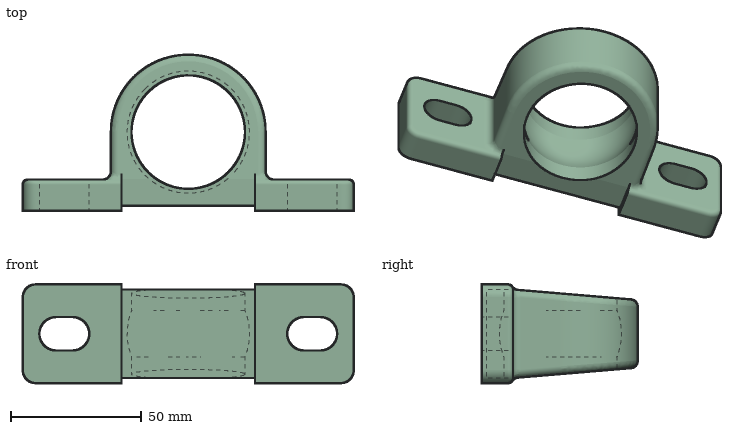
import cadquery as cq
import math

base_length = 127.0
base_width = 38.0
foot_height = 12.1
foot_inner_x = 25.5
foot_corner_radius = 5.1
foot_top_fillet = 2.0

bridge_width = 34.0
relief_depth = 1.9

slot_spacing = 95.0
slot_length = 19.0
slot_width = 12.7

bore_center_y = 30.2
housing_radius = 29.7
housing_taper_angle = 4.8
housing_edge_fillet = 2.9
root_fillet = 3.0
crown_y = bore_center_y + housing_radius

seat_radius = 23.5
bore_radius = 21.7

tolerance = 0.01


def housing_half_width(y):
    """Half of the housing width along Z at height y."""
    return bridge_width / 2 - (y - foot_height) * math.tan(math.radians(housing_taper_angle))


def make_housing():
    """Solid tapered arch reaching down to the mounting face, with rounded outer edges."""
    arch = (
        cq.Workplane("XY")
        .moveTo(-housing_radius, 0)
        .lineTo(-housing_radius, bore_center_y)
        .threePointArc((0, crown_y), (housing_radius, bore_center_y))
        .lineTo(housing_radius, 0)
        .close()
        .extrude(base_width, both=True)
    )
    half_root = housing_half_width(0)
    half_crown = housing_half_width(crown_y)
    wedge = (
        cq.Workplane("YZ")
        .polyline([(0, -half_root), (0, half_root), (crown_y, half_crown), (crown_y, -half_crown)])
        .close()
        .extrude(base_length / 2, both=True)
    )
    leaning_faces = arch.intersect(wedge).faces(">Z or <Z")
    return leaning_faces.edges("not <Y").fillet(housing_edge_fillet)


def make_foot():
    """Foot on the +X side, rounded at its outer end and along its top."""
    foot_length = base_length / 2 - foot_inner_x
    foot = (
        cq.Workplane("XY")
        .box(foot_length, foot_height, base_width, centered=(False, False, True))
        .translate((foot_inner_x, 0, 0))
    )
    foot = foot.edges("|Y and >X").fillet(foot_corner_radius)
    return foot.faces(">Y").edges("not <X").fillet(foot_top_fillet)


def make_end(housing):
    """Foot on the +X side, blended into the straight side of the housing that stands on it."""
    shoulder_length = housing_radius - foot_inner_x
    shoulder_envelope = (
        cq.Workplane("XY")
        .box(shoulder_length, bore_center_y, base_width, centered=(False, False, True))
        .translate((foot_inner_x, 0, 0))
    )
    end = make_foot().union(housing.intersect(shoulder_envelope))

    seam = cq.selectors.BoxSelector(
        (foot_inner_x + tolerance, foot_height - foot_top_fillet / 2, -base_width / 2 + tolerance),
        (housing_radius + tolerance, foot_height + tolerance, base_width / 2 - tolerance),
    )
    return end.edges(seam).fillet(root_fillet)


def make_middle(housing):
    """Housing above the feet, standing on the straight-sided bridge between them."""
    housing_envelope = (
        cq.Workplane("XY")
        .box(2 * housing_radius, crown_y - foot_height, base_width, centered=(True, False, True))
        .translate((0, foot_height, 0))
    )
    bridge = (
        cq.Workplane("XY")
        .box(2 * foot_inner_x, foot_height - relief_depth, bridge_width, centered=(True, False, True))
        .translate((0, relief_depth, 0))
    )
    return bridge.union(housing.intersect(housing_envelope))


def make_bearing_seat():
    """Cutter for the through opening and the spherical seat inside it."""
    opening = cq.Workplane("XY").circle(bore_radius).extrude(base_width, both=True)
    seat = cq.Workplane("XY").sphere(seat_radius)
    return opening.union(seat).translate((0, bore_center_y, 0))


def make_slots():
    """Cutter for the two mounting slots, running through the feet along Y."""
    return (
        cq.Workplane("XZ")
        .pushPoints([(-slot_spacing / 2, 0), (slot_spacing / 2, 0)])
        .slot2D(slot_length, slot_width)
        .extrude(foot_height, both=True)
    )


housing = make_housing()
end = make_end(housing)
body = make_middle(housing).union(end).union(end.mirror("YZ"))
result = body.cut(make_bearing_seat()).cut(make_slots())